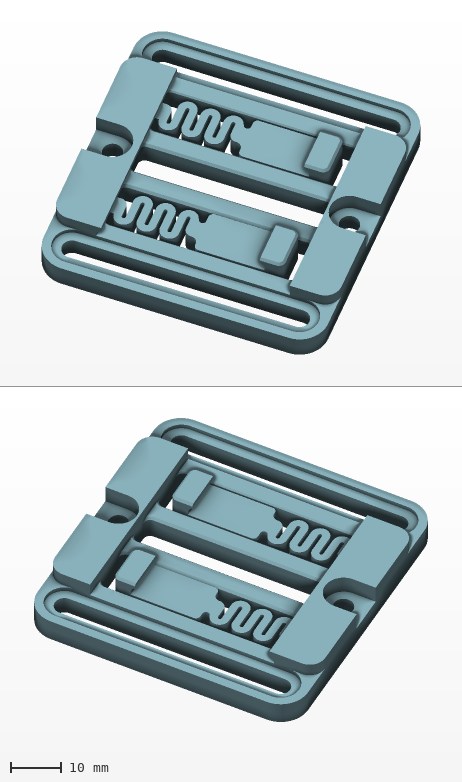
import cadquery as cq

length_x = 60.0
width_y = 62.0
total_height = 8.0
base_height = 5.0
base_corner_radius = 6.0

slot_center_y = 25.1
slot_end_x = 24.0
hole_diameter = 4.2
recess_diameter = 8.2
recess_floor_z = 4.0

block_half_width = slot_center_y - recess_diameter / 2
block_corner_radius = 3.5
block_foot_x = 20.4
catch_overhang = 1.0
catch_lip_height = 1.0
screw_x = 25.0

window_fillet = 1.5
window_chamfer = 0.5
center_window_half_width = 3.3
side_window_inner_y = 7.45
side_window_outer_y = 17.4
outer_edge_chamfer = 0.3

strip_width = 1.6
strip_gap = 0.8
spring_half_height = 4.1
last_bend_x = -5.0
bend_pairs = 3
root_embed = 0.6
spring_center_y = (side_window_inner_y + side_window_outer_y) / 2
bend_pitch = strip_width + strip_gap
bend_inner_radius = strip_gap / 2
bend_outer_radius = bend_inner_radius + strip_width
bend_offset_y = spring_half_height - bend_outer_radius

tongue_start_x = -1.5
tongue_end_x = 17.5
tongue_inner_y = 7.6
tongue_outer_y = 17.0
tongue_top_z = 4.8
tongue_back_radius = 1.0
tongue_front_radius = 1.5
hook_tip_x = 12.5
hook_chamfer = 0.5
neck_half_height = 1.9
neck_lower_fillet = 1.35

pad_start_x = 4.7
pad_end_x = 14.5
pad_thickness = 0.3


def box(x_start, x_end, y_start, y_end, z_start, z_end):
    size = (x_end - x_start, y_end - y_start, z_end - z_start)
    return cq.Workplane("XY").box(*size, centered=False).translate((x_start, y_start, z_start))


def base_plate():
    plate = cq.Workplane("XY").rect(length_x, width_y).extrude(base_height)
    return plate.edges("|Z").fillet(base_corner_radius)


def strap_slots():
    centers = [(0, -slot_center_y), (0, slot_center_y)]
    span = 2 * slot_end_x
    through = cq.Workplane("XY").pushPoints(centers).slot2D(span + hole_diameter, hole_diameter)
    recess = cq.Workplane("XY", origin=(0, 0, recess_floor_z)).pushPoints(centers)
    recess = recess.slot2D(span + recess_diameter, recess_diameter).extrude(base_height - recess_floor_z)
    return through.extrude(base_height).union(recess)


def catch_profile(foot_x, tip_x, back_x, foot_z):
    """Side profile of a lip that overhangs its foot at 45 degrees."""
    lip_z = total_height - catch_lip_height
    points = [
        (back_x, foot_z),
        (foot_x, foot_z),
        (foot_x, lip_z - catch_overhang),
        (tip_x, lip_z),
        (tip_x, total_height),
        (back_x, total_height),
    ]
    return cq.Workplane("XZ").polyline(points).close()


def end_blocks():
    left = catch_profile(-block_foot_x, catch_overhang - block_foot_x, -length_x / 2, base_height)
    left = left.extrude(block_half_width, both=True)
    left = left.edges("|Z and <X").fillet(block_corner_radius)
    right = box(block_foot_x, length_x / 2, -block_half_width, block_half_width, base_height, total_height)
    right = right.edges("|Z and >X").fillet(block_corner_radius)
    return left.union(right)


def screw_seats():
    """Through holes, each in a round-ended seat open to the nearest end."""
    cuts = cq.Workplane("XY").pushPoints([(-screw_x, 0), (screw_x, 0)])
    cuts = cuts.circle(hole_diameter / 2).extrude(total_height)
    radius = recess_diameter / 2
    for side in (-1, 1):
        seat = cq.Workplane("XY", origin=(side * screw_x, 0, recess_floor_z))
        seat = seat.circle(radius).extrude(total_height - recess_floor_z)
        x_start, x_end = sorted((side * screw_x, side * length_x / 2))
        cuts = cuts.union(seat).union(box(x_start, x_end, -radius, radius, recess_floor_z, total_height))
    return cuts


def window(y_start, y_end, low_chamfer, high_chamfer):
    """Window cutter whose long edges and corners are chamfered at the top of the base."""
    middle_y = (y_start + y_end) / 2
    outline = cq.Workplane("XY").center(0, middle_y).rect(2 * block_foot_x, y_end - y_start)
    cutter = outline.extrude(base_height).edges("|Z").fillet(window_fillet)
    halves = [
        (low_chamfer, y_start - low_chamfer, middle_y),
        (high_chamfer, middle_y, y_end + high_chamfer),
    ]
    for chamfer, clip_start, clip_end in halves:
        bevel = cutter.faces("<Z").wires().toPending().extrude(chamfer, taper=-45, combine=False)
        bevel = bevel.translate((0, 0, base_height - chamfer))
        clip = box(-block_foot_x, block_foot_x, clip_start, clip_end, 0, base_height)
        cutter = cutter.union(bevel.intersect(clip))
    return cutter


def bend(x, side):
    """Half ring joining two spring legs; side is +1 for the outer row and -1 for the inner row."""
    y = spring_center_y + side * bend_offset_y
    ring = cq.Workplane("XY").center(x, y).circle(bend_outer_radius).circle(bend_inner_radius)
    y_start, y_end = sorted((y, y + side * bend_outer_radius))
    half = box(x - bend_outer_radius, x + bend_outer_radius, y_start, y_end, 0, tongue_top_z)
    return ring.extrude(tongue_top_z).intersect(half)


def leg(x):
    half = strip_width / 2
    y_start = spring_center_y - bend_offset_y
    y_end = spring_center_y + bend_offset_y
    return box(x - half, x + half, y_start, y_end, 0, tongue_top_z)


def spring():
    bends = 2 * bend_pairs
    strip = None
    for index in range(bends):
        x = last_bend_x - index * bend_pitch
        part = bend(x, 1 if index % 2 == 0 else -1)
        strip = part if strip is None else strip.union(part)
        if index < bends - 1:
            strip = strip.union(leg(x - bend_pitch / 2))

    end_leg_x = last_bend_x - (bends - 0.5) * bend_pitch
    leg_right = end_leg_x + strip_width / 2
    y_start = spring_center_y - bend_offset_y
    y_end = spring_center_y + neck_half_height
    root = box(-block_foot_x - root_embed, leg_right, y_start, y_end, 0, tongue_top_z)
    root = root.edges("|Z and >X and >Y").fillet(strip_width)
    return strip.union(root)


def tongue():
    body = box(tongue_start_x, tongue_end_x, tongue_inner_y, tongue_outer_y, 0, tongue_top_z)
    body = body.edges("|Z and <X").fillet(tongue_back_radius)
    body = body.edges("|Z and >X").fillet(tongue_front_radius)
    hook = catch_profile(hook_tip_x + catch_overhang, hook_tip_x, tongue_end_x, tongue_top_z)
    hook = hook.extrude(-tongue_outer_y).intersect(
        box(0, tongue_end_x, tongue_inner_y, tongue_outer_y, 0, total_height)
    )
    hook = hook.edges("|Z and >X").fillet(tongue_front_radius)
    hook = hook.faces(">Z").edges("not <X").chamfer(hook_chamfer)
    return body.union(hook)


def upright_cylinder(x, y, radius):
    return cq.Workplane("XY").center(x, y).circle(radius).extrude(tongue_top_z)


def neck():
    """Link from the last bend of the spring to the tongue, with rounded inside corners."""
    start_x = last_bend_x + bend_inner_radius
    leg_right_x = last_bend_x + bend_outer_radius
    low_y = spring_center_y - neck_half_height
    high_y = spring_center_y + neck_half_height
    link = box(start_x, tongue_start_x + tongue_back_radius, low_y, high_y, 0, tongue_top_z)
    link = link.edges("|Z and <X and <Y").fillet(strip_width)

    notch_radius = (tongue_start_x - leg_right_x) / 2
    notch_y = high_y + notch_radius
    shoulder = box(start_x, tongue_start_x, spring_center_y, notch_y, 0, tongue_top_z)
    shoulder = shoulder.cut(upright_cylinder(tongue_start_x - notch_radius, notch_y, notch_radius))
    shoulder = shoulder.cut(upright_cylinder(last_bend_x, spring_center_y + bend_offset_y, bend_inner_radius))

    corner_x = tongue_start_x - neck_lower_fillet
    corner_y = low_y - neck_lower_fillet
    corner = box(corner_x, tongue_start_x, corner_y, low_y, 0, tongue_top_z)
    corner = corner.cut(upright_cylinder(corner_x, corner_y, neck_lower_fillet))
    return link.union(shoulder).union(corner)


def side_pad():
    """Wedge that thickens the outer side of the tongue towards its underside."""
    points = [
        (tongue_outer_y, 0),
        (tongue_outer_y + pad_thickness, 0),
        (tongue_outer_y, tongue_top_z),
    ]
    pad = cq.Workplane("YZ", origin=(pad_start_x, 0, 0)).polyline(points).close()
    return pad.extrude(pad_end_x - pad_start_x)


frame = base_plate().union(end_blocks()).cut(strap_slots()).cut(screw_seats())
frame = frame.cut(window(-center_window_half_width, center_window_half_width, window_chamfer, window_chamfer))
side_window = window(side_window_inner_y, side_window_outer_y, window_chamfer, outer_edge_chamfer)
frame = frame.cut(side_window).cut(side_window.mirror("XZ"))

strip_with_neck = spring().union(neck())
padded_tongue = tongue().union(side_pad())
strip_shift = (0, -2 * spring_center_y, 0)
result = frame.union(strip_with_neck).union(strip_with_neck.translate(strip_shift))
result = result.union(padded_tongue).union(padded_tongue.mirror("XZ"))